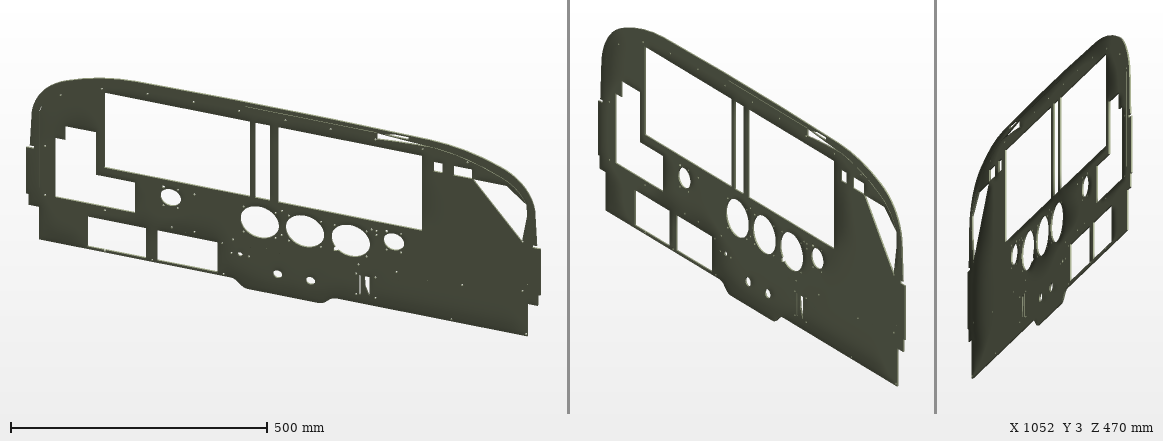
import cadquery as cq

WIDTH = 1052.0
HEIGHT = 470.0
THICKNESS = 3.0
TOP = HEIGHT / 2
BOTTOM = -HEIGHT / 2
HALF = WIDTH / 2

SEAM_Z = -123.0
SHOULDER_HALF = 521.0
SHOULDER_TOP = -105.0
SHOULDER_BOTTOM = -133.0

NOTCH_HALF = 510.0
NOTCH_BOTTOM = 12.0
NOTCH_TOP = 18.0
ARCH_FOOT_HALF = 519.0
ARCH_SIDE = (515.0, 105.0)
ARCH_CORNER_MIDDLE = (494.0, 159.0)
ARCH_CORNER_END = (443.0, 199.0)
ARCH_SHOULDER_MIDDLE = (379.0, 221.0)
ARCH_SHOULDER_END = (301.0, 232.0)

LOWER_HALF = 500.0
LOWER_BOTTOM = -215.0
TAB_ROOT_HALF = 101.0
TAB_TIP_HALF = 80.0
TAB_FILLET = 21.0

GAUGE_PANEL_HALF = 196.0
GAUGE_PANEL_TOP = -15.0
GAUGE_DIAMETER = 79.0
GAUGE_CENTERS = [(-48.0, -61.0), (44.0, -61.0), (138.0, -62.0)]
GAUGE_SCREW_DX = 33.0
GAUGE_SCREW_DZ = 32.0
GAUGE_KNOB_DIAMETER = 9.7
GAUGE_KNOB = (107.0, -90.0)

SWITCH_PANEL_OUTER = [-260.0, 268.0]
SWITCH_TOP = -43.0
SWITCH_DIAMETER = 42.0
SWITCH_CENTERS = [-230.0, 226.0]
SWITCH_SCREW_DX = 15.0
SWITCH_SCREW_DZ = 23.0
SWITCH_PIN_DIAMETER = 6.5

SCREW_DIAMETER = 4.6
GAUGE_PANEL_SCREWS = [
    (-182.0, -23.0), (-182.0, -118.0), (-103.0, -118.0), (154.0, -118.0),
    (-3.0, -21.0), (-3.0, -82.0), (181.0, -23.0), (190.0, -24.0), (190.0, -35.0),
]
SWITCH_PANEL_SCREWS = [(-228.0, -118.0), (232.0, -118.0)]
MAIN_SCREWS = [
    (-456.0, 160.0), (-372.0, 197.0), (-278.0, 207.0), (-183.0, 209.0), (-90.0, 209.0), (4.0, 209.0), (97.0, 209.0),
    (188.0, 206.0), (285.0, 205.0), (377.0, 195.0), (-487.0, 24.0), (489.0, 22.0), (-487.0, -100.0), (489.0, -102.0),
    (-365.0, -108.0), (366.0, -118.0),
]
LOWER_SCREWS = [
    (-365.0, -210.0), (-268.0, -209.0), (-122.0, -209.0), (344.0, -209.0), (497.0, -209.0), (-125.0, -133.0),
    (-106.0, -153.0), (-70.0, -153.0), (149.0, -142.0), (188.0, -142.0), (149.0, -194.0), (188.0, -194.0),
]
SLIT_END_HOLE = (500.0, -83.0)
SLIT_END_DIAMETER = 2.0

KNOB_DIAMETER = 19.0
KNOBS = [(-12.0, -183.0), (56.0, -183.0)]
PILOT_DIAMETER = 9.7
PILOT = (-88.0, -152.0)

MAIN_WINDOWS = [
    (-366.0, -68.0, -1.0, 188.0), (-58.0, -27.0, -1.0, 188.0), (-10.0, 284.0, -1.0, 188.0),
    (307.0, 326.0, 155.0, 179.0), (348.0, 386.0, 155.0, 179.0),
]
LOWER_WINDOWS = [(-401.0, -281.0, -208.0, -133.0), (-258.0, -135.0, -208.0, -133.0), (155.0, 158.0, -193.0, -144.0)]

STEPPED_OPENING = [
    (-467.0, -100.0), (-467.0, 49.0), (-446.0, 49.0), (-446.0, 84.0),
    (-383.0, 84.0), (-383.0, -23.0), (-303.0, -23.0), (-303.0, -100.0),
]
CORNER_OPENING = [(387.0, 155.0), (457.0, 155.0), (498.0, 117.0), (499.0, 88.0), (488.0, 21.0)]
LARGE_WEDGE = [(192.0, 223.0), (192.0, 207.0), (226.0, 210.0), (309.0, 215.0), (274.0, 217.0), (215.0, 221.0)]
SMALL_WEDGE = [(205.0, 223.0), (226.0, 228.0), (257.0, 228.0), (257.0, 222.0), (237.0, 222.0)]
TAPERED_SLOT = [(166.0, -144.0), (177.0, -144.0), (177.0, -193.0), (174.0, -187.0), (167.0, -168.0)]

SLIT = 1.0
LEFT_SLIT = (-499.0, -84.0, 109.0)
LEFT_SLIT_TIP = (-495.0, 122.0)
TOP_SLIT = (-78.0, 192.0, 224.0)
RIM_SLIT_ARCS = [
    [(305.0, 216.0), (379.0, 201.0), (446.0, 174.0)],
    [(446.0, 174.0), (478.0, 150.0), (498.0, 117.0)],
]


def mirrored(point):
    """The same point on the other side of X = 0."""
    return (-point[0], point[1])


def plate(points):
    """Flat plate with a closed polygonal outline, centred on Y = 0."""
    return cq.Workplane("XZ").polyline(points).close().extrude(THICKNESS / 2, both=True)


def rectangle(left, right, bottom, top):
    return plate([(left, bottom), (right, bottom), (right, top), (left, top)])


def discs(points, diameter):
    """One round cutter at each point."""
    return cq.Workplane("XZ").pushPoints(points).circle(diameter / 2).extrude(THICKNESS, both=True)


def around(center, dx, dz):
    """Four points in a rectangle around a centre."""
    x, z = center
    return [(x + sx * dx, z + sz * dz) for sx in (-1, 1) for sz in (-1, 1)]


def make_switch_cutter(x):
    """Switch bore with its four screws, the upper left one being larger."""
    screws = around((x, SWITCH_TOP), SWITCH_SCREW_DX, SWITCH_SCREW_DZ)
    pin = (x - SWITCH_SCREW_DX, SWITCH_TOP + SWITCH_SCREW_DZ)
    bore = discs([(x, SWITCH_TOP)], SWITCH_DIAMETER)
    return bore.union(discs(screws, SCREW_DIAMETER)).union(discs([pin], SWITCH_PIN_DIAMETER))


def make_switch_blank(outer):
    """Plain switch panel between its outer edge and the gauge panel."""
    inner = GAUGE_PANEL_HALF if outer > 0 else -GAUGE_PANEL_HALF
    return rectangle(min(outer, inner), max(outer, inner), SEAM_Z, SWITCH_TOP)


def make_switch_panel(outer, switch_x):
    panel = make_switch_blank(outer).cut(make_switch_cutter(switch_x))
    return panel.cut(discs(SWITCH_PANEL_SCREWS, SCREW_DIAMETER))


def make_gauge_blank():
    return rectangle(-GAUGE_PANEL_HALF, GAUGE_PANEL_HALF, SEAM_Z, GAUGE_PANEL_TOP)


def make_gauge_panel():
    panel = make_gauge_blank().cut(discs(GAUGE_CENTERS, GAUGE_DIAMETER))
    for center in GAUGE_CENTERS:
        panel = panel.cut(discs(around(center, GAUGE_SCREW_DX, GAUGE_SCREW_DZ), SCREW_DIAMETER))
    panel = panel.cut(discs([GAUGE_KNOB], GAUGE_KNOB_DIAMETER))
    return panel.cut(discs(GAUGE_PANEL_SCREWS, SCREW_DIAMETER))


def make_main_blank():
    """Arched panel outline, symmetric about X = 0."""
    right = [(SHOULDER_HALF, SEAM_Z), (SHOULDER_HALF, SHOULDER_TOP), (HALF, SHOULDER_TOP), (HALF, NOTCH_BOTTOM),
             (NOTCH_HALF, NOTCH_BOTTOM), (NOTCH_HALF, NOTCH_TOP), (ARCH_FOOT_HALF, NOTCH_TOP)]
    left = [mirrored(point) for point in reversed(right)]
    outline = cq.Workplane("XZ").polyline(right).lineTo(*ARCH_SIDE)
    outline = outline.threePointArc(ARCH_CORNER_MIDDLE, ARCH_CORNER_END)
    outline = outline.threePointArc(ARCH_SHOULDER_MIDDLE, ARCH_SHOULDER_END)
    outline = outline.threePointArc((0, TOP), mirrored(ARCH_SHOULDER_END))
    outline = outline.threePointArc(mirrored(ARCH_SHOULDER_MIDDLE), mirrored(ARCH_CORNER_END))
    outline = outline.threePointArc(mirrored(ARCH_CORNER_MIDDLE), mirrored(ARCH_SIDE))
    for point in left:
        outline = outline.lineTo(*point)
    return outline.close().extrude(THICKNESS / 2, both=True)


def make_arc_slit(start, middle, end):
    """Slit between an arc and the same arc moved diagonally inwards."""
    shift = SLIT / 2 ** 0.5
    inner_start, inner_middle, inner_end = [(x - shift, z - shift) for x, z in (start, middle, end)]
    outline = cq.Workplane("XZ").moveTo(*start).threePointArc(middle, end).lineTo(*inner_end)
    outline = outline.threePointArc(inner_middle, inner_start).close()
    return outline.extrude(THICKNESS / 2, both=True)


def make_rim_slits():
    """Straight slits at the left and top, and a curved one following the right of the arch."""
    x, bottom, top = LEFT_SLIT
    left = rectangle(x - SLIT / 2, x + SLIT / 2, bottom, top)
    tip_x, tip_z = LEFT_SLIT_TIP
    tip = plate([(x - SLIT / 2, top), (x + SLIT / 2, top), (tip_x + SLIT / 2, tip_z), (tip_x - SLIT / 2, tip_z)])
    start, end, z = TOP_SLIT
    upper = rectangle(start, end, z - SLIT / 2, z + SLIT / 2)
    slits = left.union(tip).union(upper)
    for arc in RIM_SLIT_ARCS:
        slits = slits.union(make_arc_slit(*arc))
    return slits


def make_main_panel():
    panel = make_main_blank().cut(make_gauge_blank())
    for outer, switch_x in zip(SWITCH_PANEL_OUTER, SWITCH_CENTERS):
        panel = panel.cut(make_switch_blank(outer)).cut(make_switch_cutter(switch_x))
    for window in MAIN_WINDOWS:
        panel = panel.cut(rectangle(*window))
    for opening in (STEPPED_OPENING, CORNER_OPENING, LARGE_WEDGE, SMALL_WEDGE):
        panel = panel.cut(plate(opening))
    panel = panel.cut(make_rim_slits()).cut(discs([SLIT_END_HOLE], SLIT_END_DIAMETER))
    return panel.cut(discs(MAIN_SCREWS, SCREW_DIAMETER))


def make_lower_panel():
    right = [(TAB_TIP_HALF, BOTTOM), (TAB_ROOT_HALF, LOWER_BOTTOM), (LOWER_HALF, LOWER_BOTTOM),
             (LOWER_HALF, SHOULDER_BOTTOM), (SHOULDER_HALF, SHOULDER_BOTTOM), (SHOULDER_HALF, SEAM_Z)]
    panel = plate(right + [mirrored(point) for point in reversed(right)])
    tab_margin = 10.0
    tab_zone = cq.selectors.BoxSelector(
        (-TAB_ROOT_HALF - tab_margin, -THICKNESS, BOTTOM - tab_margin),
        (TAB_ROOT_HALF + tab_margin, THICKNESS, LOWER_BOTTOM + tab_margin),
    )
    panel = panel.edges("|Y").edges(tab_zone).fillet(TAB_FILLET)
    for window in LOWER_WINDOWS:
        panel = panel.cut(rectangle(*window))
    panel = panel.cut(plate(TAPERED_SLOT)).cut(discs(KNOBS, KNOB_DIAMETER)).cut(discs([PILOT], PILOT_DIAMETER))
    return panel.cut(discs(LOWER_SCREWS, SCREW_DIAMETER))


main_panel = make_main_panel()
lower_panel = make_lower_panel()
gauge_panel = make_gauge_panel()
switch_panels = [make_switch_panel(outer, x) for outer, x in zip(SWITCH_PANEL_OUTER, SWITCH_CENTERS)]

result = cq.Compound.makeCompound(
    [main_panel.val(), lower_panel.val(), gauge_panel.val()] + [panel.val() for panel in switch_panels]
)